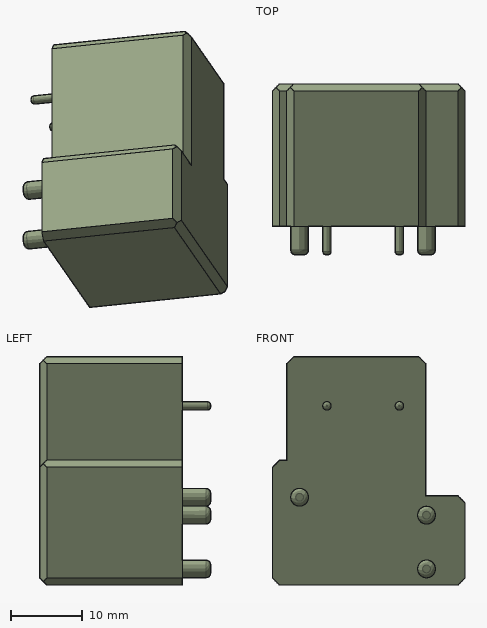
import cadquery as cq

block_width = 27.0
block_height = 32.05
block_depth = 20.0
tower_left = 2.0
tower_right = 21.5
left_shoulder_height = 17.55
right_shoulder_height = 12.55
corner_chamfer = 1.0
back_chamfer = 1.0

pin_length = 4.0

power_pin_diameter = 2.5
power_pin_round = 0.7
power_pin_left = 3.8
power_pin_right = 21.6
power_pin_bottom = 2.28
power_pin_pitch = 7.54
left_power_pin_rise = 10.05

signal_pin_diameter = 1.2
signal_pin_round = 0.5
signal_pin_left = 7.64
signal_pin_pitch = 10.16
signal_pin_height = 25.14


def make_block():
    """Stepped block: front face at Y = 0, body running toward +Y."""
    outline = [
        (0, 0),
        (block_width, 0),
        (block_width, right_shoulder_height),
        (tower_right, right_shoulder_height),
        (tower_right, block_height),
        (tower_left, block_height),
        (tower_left, left_shoulder_height),
        (0, left_shoulder_height),
    ]
    inner_corners = [
        (tower_right, right_shoulder_height),
        (tower_left, left_shoulder_height),
    ]
    prism = cq.Workplane("XZ").polyline(outline).close().extrude(-block_depth)

    def is_outer_corner(edge):
        center = edge.Center()
        return all(
            abs(center.x - x) + abs(center.z - z) > corner_chamfer / 2
            for x, z in inner_corners
        )

    outer_corners = [edge for edge in prism.edges("|Y").vals() if is_outer_corner(edge)]
    cut_corners = prism.newObject(outer_corners).chamfer(corner_chamfer)

    bevelled_back = prism.faces(">Y").edges().chamfer(back_chamfer)
    return bevelled_back.intersect(cut_corners)


def make_pins(centers, diameter, tip_round):
    """Round pins along -Y with rounded tips, at the given (X, Z) centers."""
    pins = cq.Workplane("XZ").pushPoints(centers).circle(diameter / 2).extrude(pin_length)
    return pins.faces("<Y").edges().fillet(tip_round)


power_pin_centers = [
    (power_pin_left, power_pin_bottom + left_power_pin_rise),
    (power_pin_right, power_pin_bottom + power_pin_pitch),
    (power_pin_right, power_pin_bottom),
]
signal_pin_centers = [
    (signal_pin_left, signal_pin_height),
    (signal_pin_left + signal_pin_pitch, signal_pin_height),
]

power_pins = make_pins(power_pin_centers, power_pin_diameter, power_pin_round)
signal_pins = make_pins(signal_pin_centers, signal_pin_diameter, signal_pin_round)

result = make_block().union(power_pins).union(signal_pins)